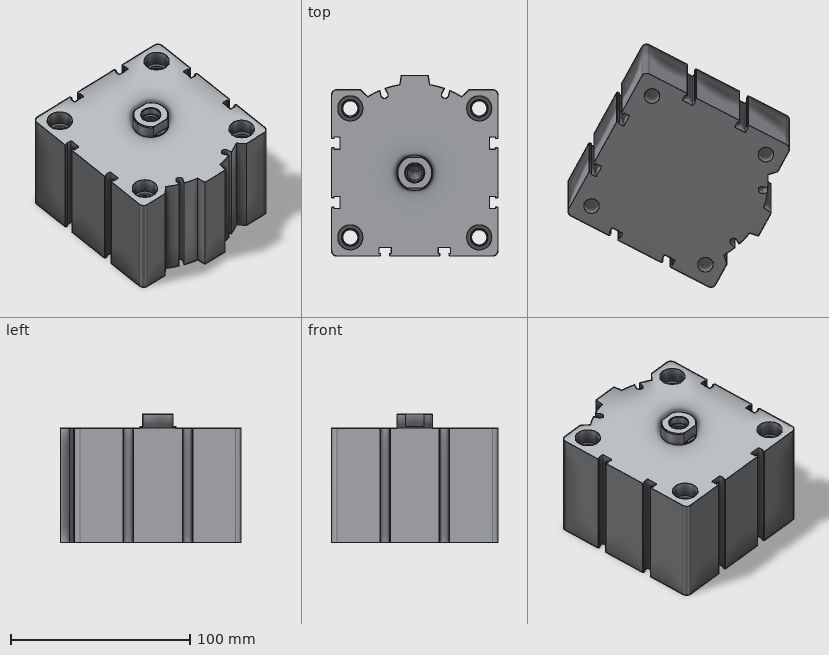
import math

import cadquery as cq

SIDE = 93.0
HEIGHT = 64.0
HALF = SIDE / 2
CORNER_RADIUS = 3

CROWN_RADIUS = 50.0
SHOULDER_TOP_X = 30.3
SHOULDER_FOOT_X = 26.3
OVERALL_LENGTH_Y = 101
TAB_TOP_Y = OVERALL_LENGTH_Y - HALF
TAB_TOP_WIDTH = 15.0
TAB_ROOT_WIDTH = 16.8

SLOT_OFFSET = 16.6
SLOT_MOUTH = 5
SLOT_WIDTH = 6.7
SLOT_LIP = 1.5
SLOT_DEPTH = 4.7
SLOT_MOUTH_CHAMFER = 0.4
SLOT_CORNER_RADIUS = 0.3

GROOVE_DIAMETER = 3.9
GROOVE_MOUTH = 3
GROOVE_CENTRE_DEPTH = 3.2
GROOVE_ANGLE = 21.2

HOLE_PITCH = 72.0
HOLE_DIAMETER = 8.5
COUNTERSINK_DIAMETER = 10.0
COUNTERBORE_DIAMETER = 14.0
COUNTERBORE_DEPTH = 9.0

ROD_DIAMETER = 20.0
ROD_PROJECTION = 8.0
ROD_INSERTION = 20.2
ROD_CHAMFER = 0.5
FLATS_WIDTH = 17.0
FLATS_CLEARANCE = 0.8

SOCKET_MOUTH_DIAMETER = 11.2
SOCKET_DIAMETER = 10.5
SOCKET_LEDGE_DEPTH = 4.8
SOCKET_COUNTERSINK_DIAMETER = 10.0
SOCKET_BORE_DIAMETER = 8.4
SOCKET_DEPTH = 12.1
DRILL_POINT_ANGLE = 118


def on_crown(x):
    """Point of the crown arc at the given X."""
    return (x, math.sqrt(CROWN_RADIUS**2 - x**2))


def crown_arc_middle(x_start, x_end):
    """Point of the crown arc halfway between two X positions."""
    return on_crown((x_start + x_end) / 2)


def housing_block():
    """Square block with rounded corners and the crowned +Y side."""
    tab_root = TAB_ROOT_WIDTH / 2
    tab_top = TAB_TOP_WIDTH / 2
    block = (
        cq.Workplane("XY")
        .moveTo(-HALF, -HALF)
        .lineTo(HALF, -HALF)
        .lineTo(HALF, HALF)
        .lineTo(SHOULDER_TOP_X, HALF)
        .lineTo(*on_crown(SHOULDER_FOOT_X))
        .threePointArc(crown_arc_middle(SHOULDER_FOOT_X, tab_root), on_crown(tab_root))
        .lineTo(tab_top, TAB_TOP_Y)
        .lineTo(-tab_top, TAB_TOP_Y)
        .lineTo(*on_crown(-tab_root))
        .threePointArc(crown_arc_middle(-SHOULDER_FOOT_X, -tab_root), on_crown(-SHOULDER_FOOT_X))
        .lineTo(-SHOULDER_TOP_X, HALF)
        .lineTo(-HALF, HALF)
        .close()
        .extrude(HEIGHT)
    )
    side_walls = block.faces("<X or >X")
    return side_walls.edges("|Z").fillet(CORNER_RADIUS)


def t_slot(offset):
    """T-slot cutter in the -Y side at the given X, with a chamfered mouth."""
    mouth = cq.Workplane("XY").box(SLOT_MOUTH, 2 * SLOT_LIP, HEIGHT, centered=(True, True, False))
    pocket = (
        cq.Workplane("XY")
        .box(SLOT_WIDTH, SLOT_DEPTH - SLOT_LIP, HEIGHT, centered=(True, False, False))
        .edges("|Z and >Y")
        .fillet(SLOT_CORNER_RADIUS)
        .translate((0, SLOT_LIP, 0))
    )
    bevel_half_width = SLOT_MOUTH / 2 + SLOT_MOUTH_CHAMFER
    bevel = (
        cq.Workplane("XY")
        .polyline([(-bevel_half_width, 0), (bevel_half_width, 0), (0, bevel_half_width)])
        .close()
        .extrude(HEIGHT)
    )
    return mouth.union(pocket).union(bevel).translate((offset, -HALF, 0))


def sensor_groove(angle):
    """Keyhole-shaped cutter, turned about the rod axis by the given angle from +Y."""
    centre_y = CROWN_RADIUS - GROOVE_CENTRE_DEPTH
    round_part = cq.Workplane("XY").center(0, centre_y).circle(GROOVE_DIAMETER / 2).extrude(HEIGHT)
    throat = (
        cq.Workplane("XY")
        .polyline(
            [
                (-GROOVE_DIAMETER / 2, centre_y),
                (GROOVE_DIAMETER / 2, centre_y),
                (GROOVE_MOUTH / 2, CROWN_RADIUS),
                (-GROOVE_MOUTH / 2, CROWN_RADIUS),
            ]
        )
        .close()
        .extrude(HEIGHT)
    )
    return round_part.union(throat).rotate((0, 0, 0), (0, 0, 1), angle)


def mounting_hole():
    """Cutter for one counterbored and countersunk through hole, on the Z axis."""
    ledge_z = HEIGHT - COUNTERBORE_DEPTH
    countersink_depth = (COUNTERSINK_DIAMETER - HOLE_DIAMETER) / 2
    return (
        cq.Workplane("XZ")
        .polyline(
            [
                (0, 0),
                (HOLE_DIAMETER / 2, 0),
                (HOLE_DIAMETER / 2, ledge_z - countersink_depth),
                (COUNTERSINK_DIAMETER / 2, ledge_z),
                (COUNTERBORE_DIAMETER / 2, ledge_z),
                (COUNTERBORE_DIAMETER / 2, HEIGHT),
                (0, HEIGHT),
            ]
        )
        .close()
        .revolve(360, (0, 0, 0), (0, 1, 0))
    )


def make_housing():
    """Cylinder housing with slots, grooves, mounting holes and the rod recess."""
    housing = housing_block()
    for side_angle in (-90, 0, 90):
        for offset in (-SLOT_OFFSET, SLOT_OFFSET):
            housing = housing.cut(t_slot(offset).rotate((0, 0, 0), (0, 0, 1), side_angle))
    for angle in (-GROOVE_ANGLE, GROOVE_ANGLE):
        housing = housing.cut(sensor_groove(angle))
    for x in (-HOLE_PITCH / 2, HOLE_PITCH / 2):
        for y in (-HOLE_PITCH / 2, HOLE_PITCH / 2):
            housing = housing.cut(mounting_hole().translate((x, y, 0)))
    rod_recess = (
        cq.Workplane("XY", origin=(0, 0, HEIGHT - ROD_INSERTION))
        .circle(ROD_DIAMETER / 2)
        .extrude(ROD_INSERTION)
    )
    return housing.cut(rod_recess)


def rod_socket():
    """Cutter for the stepped blind socket in the rod end."""
    rod_top = HEIGHT + ROD_PROJECTION
    bore_radius = SOCKET_BORE_DIAMETER / 2
    mouth_chamfer = (SOCKET_MOUTH_DIAMETER - SOCKET_DIAMETER) / 2
    ledge_z = rod_top - SOCKET_LEDGE_DEPTH
    countersink_depth = SOCKET_COUNTERSINK_DIAMETER / 2 - bore_radius
    point_depth = bore_radius / math.tan(math.radians(DRILL_POINT_ANGLE / 2))
    return (
        cq.Workplane("XZ")
        .polyline(
            [
                (0, rod_top),
                (SOCKET_MOUTH_DIAMETER / 2, rod_top),
                (SOCKET_DIAMETER / 2, rod_top - mouth_chamfer),
                (SOCKET_DIAMETER / 2, ledge_z),
                (SOCKET_COUNTERSINK_DIAMETER / 2, ledge_z),
                (bore_radius, ledge_z - countersink_depth),
                (bore_radius, rod_top - SOCKET_DEPTH),
                (0, rod_top - SOCKET_DEPTH - point_depth),
            ]
        )
        .close()
        .revolve(360, (0, 0, 0), (0, 1, 0))
    )


def make_rod():
    """Piston rod with two wrench flats and a socket in its end."""
    rod = (
        cq.Workplane("XY", origin=(0, 0, HEIGHT - ROD_INSERTION))
        .circle(ROD_DIAMETER / 2)
        .extrude(ROD_INSERTION + ROD_PROJECTION)
        .faces(">Z")
        .chamfer(ROD_CHAMFER)
    )
    cutter_y = (FLATS_WIDTH + ROD_DIAMETER) / 2
    for y in (-cutter_y, cutter_y):
        flat_cutter = (
            cq.Workplane("XY", origin=(0, y, HEIGHT + FLATS_CLEARANCE))
            .rect(ROD_DIAMETER, ROD_DIAMETER)
            .extrude(ROD_PROJECTION)
        )
        rod = rod.cut(flat_cutter)
    return rod.cut(rod_socket())


housing = make_housing()
rod = make_rod()
result = cq.Compound.makeCompound([housing.val(), rod.val()])